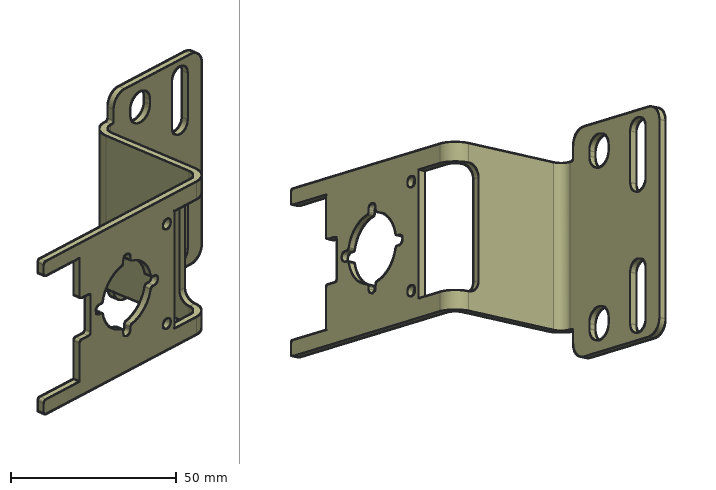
import cadquery as cq

length = 120.0
offset_width = 46.0
sheet = 2.5
bend_inner = 3.6
bend_outer = bend_inner + sheet
web_front = -47.4
web_back = web_front + sheet
arm_inner = offset_width - sheet
arm_middle = offset_width - sheet / 2

flange_length = 40.0
flange_height = 72.0
flange_corner = 5.0
arm_height = 52.5
neck_fillet = 0.8

slot_y, slot_z = -10.0, 22.1
slot_length, slot_width = 23.2, 7.1
oblong_y, oblong_z = -28.0, 27.0
oblong_length, oblong_width = 10.5, 8.9

window_height = 40.2
window_start_x = 35.9
window_end_y = -60.8
window_corner = 4.0

bore_y = -82.5
bore_radius = 11.0
key_reach = 14.0
key_width = 3.2
key_fillet = 1.0
pin_y, pin_z = -64.3, 17.0
pin_diameter = 3.5

fork_y = -103.8
fork_height = 42.2
notch_y = -98.8
notch_height = 14.2
notch_inner_fillet = 1.0
notch_outer_fillet = 1.0
prong_fillet = 1.0

pick_margin = 0.01


def box(x0, x1, y0, y1, height):
    """Box between two X and two Y positions, centred on Z = 0."""
    center = ((x0 + x1) / 2, (y0 + y1) / 2, 0)
    return cq.Workplane("XY").box(abs(x1 - x0), abs(y1 - y0), height).translate(center)


def edges_near(body, x, y, z):
    """Edges whose center lies at the given point."""
    low = (x - pick_margin, y - pick_margin, z - pick_margin)
    high = (x + pick_margin, y + pick_margin, z + pick_margin)
    return body.edges(cq.selectors.BoxSelector(low, high))


def mirrored_edges(body, x, y, z):
    """Edges along X through the sheet at (y, +z) and (y, -z)."""
    return edges_near(body, x, y, z).add(edges_near(body, x, y, -z))


def bent_strip():
    """Constant-height strip with one bend at each end of the web."""
    strip = (
        cq.Workplane("XY")
        .polyline([
            (0, 0), (0, web_front), (arm_inner, web_front), (arm_inner, -length),
            (offset_width, -length), (offset_width, web_back), (sheet, web_back), (sheet, 0),
        ])
        .close()
        .extrude(arm_height / 2, both=True)
    )
    for x, y, radius in (
        (0, web_front, bend_outer),
        (sheet, web_back, bend_inner),
        (offset_width, web_back, bend_outer),
        (arm_inner, web_front, bend_inner),
    ):
        strip = edges_near(strip, x, y, 0).fillet(radius)
    return strip


def add_flange(body):
    plate = box(0, sheet, -flange_length, 0, flange_height).edges("|X").fillet(flange_corner)
    body = body.union(plate)
    return mirrored_edges(body, sheet / 2, -flange_length, arm_height / 2).fillet(neck_fillet)


def cut_flange_slots(body):
    for y, z, slot_size, width in (
        (slot_y, slot_z, slot_length, slot_width),
        (oblong_y, oblong_z, oblong_length, oblong_width),
    ):
        slots = (
            cq.Workplane("YZ").pushPoints([(y, z), (y, -z)])
            .slot2D(slot_size, width, 90).extrude(sheet)
        )
        body = body.cut(slots)
    return body


def cut_window(body):
    """Opening across the arm bend, rounded only at its corners in the web."""
    cutter = box(window_start_x, offset_width, window_end_y, web_back, window_height)
    return body.cut(cutter.edges("|Y and <X").fillet(window_corner))


def cut_fork(body):
    body = body.cut(box(arm_inner, offset_width, -length, fork_y, fork_height))
    body = body.cut(box(arm_inner, offset_width, fork_y, notch_y, notch_height))
    for y, z, radius in (
        (notch_y, notch_height / 2, notch_inner_fillet),
        (fork_y, notch_height / 2, notch_outer_fillet),
        (-length, fork_height / 2, prong_fillet),
        (-length, arm_height / 2, prong_fillet),
    ):
        body = mirrored_edges(body, arm_middle, y, z).fillet(radius)
    return body


def cut_arm_holes(body):
    """Keyed bore with four round-ended key slots, and two pin holes."""
    plane = cq.Workplane("YZ", origin=(arm_inner, bore_y, 0))
    bore = plane.circle(bore_radius).extrude(sheet)
    for angle in (0, 90):
        bore = bore.union(plane.slot2D(2 * key_reach, key_width, angle).extrude(sheet))
    corner_along = (bore_radius**2 - (key_width / 2) ** 2) ** 0.5
    for y, z in (
        (bore_y + corner_along, key_width / 2),
        (bore_y - corner_along, key_width / 2),
        (bore_y + key_width / 2, corner_along),
        (bore_y - key_width / 2, corner_along),
    ):
        bore = mirrored_edges(bore, arm_middle, y, z).fillet(key_fillet)
    pins = (
        cq.Workplane("YZ", origin=(arm_inner, 0, 0))
        .pushPoints([(pin_y, pin_z), (pin_y, -pin_z)])
        .circle(pin_diameter / 2).extrude(sheet)
    )
    return body.cut(bore).cut(pins)


result = add_flange(bent_strip())
result = cut_flange_slots(result)
result = cut_window(result)
result = cut_fork(result)
result = cut_arm_holes(result)